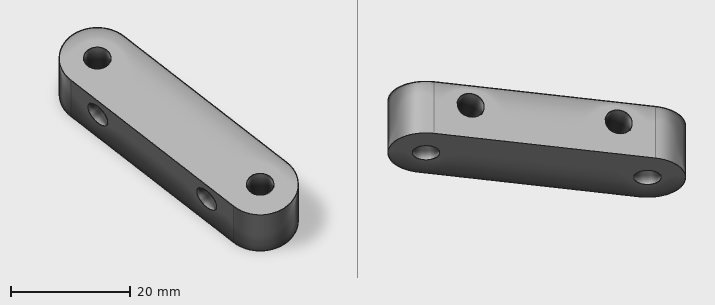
import cadquery as cq
import math

overall_length_x = 45.65
thickness = 10.15
end_radius = 6.4
tilt_angle = 30.0
pivot_hole_diameter = 4.55
cross_hole_diameter = 4.6
cross_hole_spacing = 25.4
cross_hole_depth_from_top = 3.85

link_width = 2 * end_radius
pivot_spacing = (overall_length_x - link_width) / math.cos(math.radians(tilt_angle))
cross_hole_z = thickness / 2 - cross_hole_depth_from_top


def link_body():
    """Round-ended bar lying along X, centred on the origin."""
    return cq.Workplane("XY").slot2D(pivot_spacing + link_width, link_width).extrude(thickness / 2, both=True)


def hole_pair(plane, spacing, height, diameter, length):
    """Two through-hole cutters spaced along X, at a height in the plane's local Y."""
    centres = [(-spacing / 2, height), (spacing / 2, height)]
    return cq.Workplane(plane).pushPoints(centres).circle(diameter / 2).extrude(length / 2, both=True)


pivot_holes = hole_pair("XY", pivot_spacing, 0, pivot_hole_diameter, thickness)
cross_holes = hole_pair("XZ", cross_hole_spacing, cross_hole_z, cross_hole_diameter, link_width)

straight_link = link_body().cut(pivot_holes).cut(cross_holes)
result = straight_link.rotate((0, 0, 0), (0, 0, 1), tilt_angle)